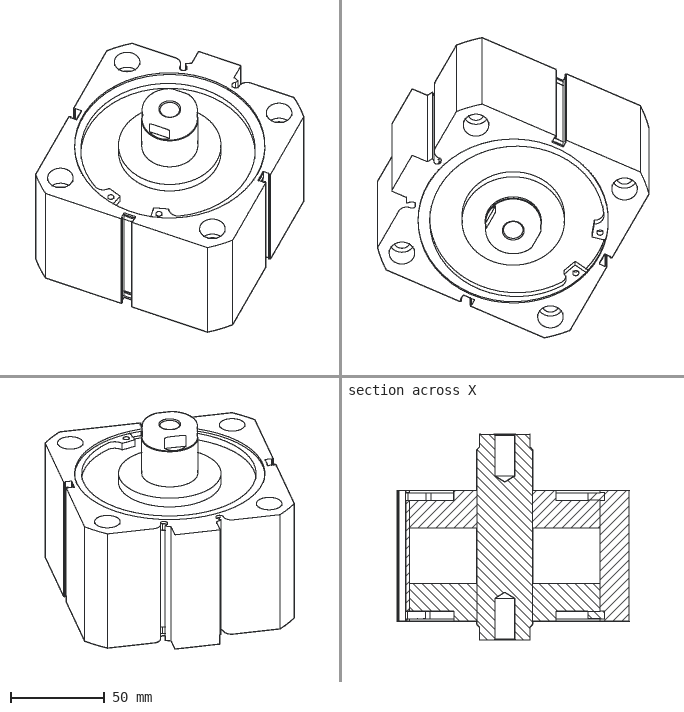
import cadquery as cq
import math

longest_side = 124.0
side = 115.0
height = 69.9
corner_radius = 74.4
half_side = side / 2
half_height = height / 2

rail_half_width = 12.4
rail_top = longest_side - half_side
rail_fillet = 0.5
lip_x, lip_y = 15.4, 55.9
notch_x, notch_y = 15.3, 52.8
notch_radius = 2.0
notch_join_angle = math.radians(115)
flare_radius = half_side - notch_y

bore_radius = 50.8
groove_radius = 53.2
groove_inset = 1.4
ring_thickness = 4.0
ring_top = half_height - groove_inset
ring_bottom = ring_top - ring_thickness

mount_spacing = 88.7
mount_diameter = 8.7
counterbore_diameter = 13.6
counterbore_depth = 12.4

slot_half_width = 3.3
slot_depth = 4.5
mouth_half_width = 2.7
mouth_lip = 1.0
lip_chamfer = 0.5

ring_inner_radius = 46.6
ring_inner_offset = 2.2
ring_turn = -0.8
lug_inner_x, lug_inner_y = 17.5, -39.7
lug_end_x, lug_end_y = 9.8, -42.3
lug_base_x, lug_base_y = 9.0, -40.0
valley_x, valley_y = 19.7, -41.9
valley_start_x = 24.5
plier_hole_x, plier_hole_y = 14.1, -44.9
plier_hole_radius = 1.6

cover_thickness = 14.9
boss_radius = 27.4

rod_radius = 15.0
neck_radius = 14.8
long_end = 30.0
short_end = 10.0
rod_top = half_height + long_end
rod_bottom = -half_height - short_end
neck_length = 8.2
end_fillet = 0.9
shoulder_chamfer = 0.4
flat_distance = 13.5
flat_length = 6.8
rod_hole_radius = 5.2
rod_hole_depth = 22.3
rod_hole_chamfer = 0.6
drill_tip_half_angle = math.radians(59)


def disc(radius, z_low, z_high):
    return cq.Workplane("XY").workplane(offset=z_low).circle(radius).extrude(z_high - z_low)


def cone(base_radius, top_radius, length, base_z, direction):
    axis = cq.Vector(0, 0, direction)
    return cq.Workplane(cq.Solid.makeCone(base_radius, top_radius, length, cq.Vector(0, 0, base_z), axis))


def make_block():
    """The square block with its rounded-off corners and the port rail."""
    block = cq.Workplane("XY").box(side, side, height)
    block = block.intersect(disc(corner_radius, -half_height, half_height))
    rail = (
        cq.Workplane("XY")
        .box(2 * rail_half_width, rail_top, height, centered=(True, False, True))
        .edges("|Z and >Y")
        .fillet(rail_fillet)
    )
    return block.union(rail)


def make_notch():
    """The notch on the +X side of the rail, open towards +Y."""
    join_x = notch_x + notch_radius * math.cos(notch_join_angle)
    join_y = notch_y + notch_radius * math.sin(notch_join_angle)
    flare_x = notch_x + notch_radius + flare_radius
    flare_reach = flare_radius * math.sqrt(0.5)
    return (
        cq.Workplane("XY")
        .workplane(offset=-half_height)
        .moveTo(rail_half_width, half_side)
        .lineTo(lip_x, lip_y)
        .lineTo(join_x, join_y)
        .threePointArc((notch_x, notch_y - notch_radius), (notch_x + notch_radius, notch_y))
        .threePointArc((flare_x - flare_reach, notch_y + flare_reach), (flare_x, half_side))
        .close()
        .extrude(height)
    )


def make_slot():
    """A sensor slot along the full height of the -Y side."""
    half_outline = [
        (mouth_half_width + lip_chamfer, 0),
        (mouth_half_width, lip_chamfer),
        (mouth_half_width, mouth_lip),
        (slot_half_width, mouth_lip),
        (slot_half_width, slot_depth),
    ]
    outline = half_outline + [(-x, depth) for x, depth in reversed(half_outline)]
    return (
        cq.Workplane("XY")
        .workplane(offset=-half_height)
        .polyline([(x, depth - half_side) for x, depth in outline])
        .close()
        .extrude(height)
    )


def make_housing():
    body = make_block()
    notch = make_notch()
    body = body.cut(notch).cut(notch.mirror("YZ"))
    slot = make_slot()
    for angle in (-90, 0, 90):
        body = body.cut(slot.rotate((0, 0, 0), (0, 0, 1), angle))
    body = body.cut(disc(bore_radius, -half_height, half_height))
    body = body.cut(disc(groove_radius, ring_bottom, ring_top))
    body = body.cut(disc(groove_radius, -ring_top, -ring_bottom))
    for face in (">Z", "<Z"):
        body = (
            body.faces(face)
            .workplane(origin=(0, 0, 0))
            .rect(mount_spacing, mount_spacing, forConstruction=True)
            .vertices()
            .cboreHole(mount_diameter, counterbore_diameter, counterbore_depth)
        )
    return body


def make_ring():
    """The ring in the upper groove, with its gap towards -Y."""
    valley_start_y = -ring_inner_offset - math.sqrt(ring_inner_radius**2 - valley_start_x**2)
    base_angle = math.atan2(lug_base_y, lug_base_x)
    rim_x = groove_radius * math.cos(base_angle)
    rim_y = groove_radius * math.sin(base_angle)
    ring = (
        cq.Workplane("XY")
        .workplane(offset=ring_bottom)
        .moveTo(lug_end_x, lug_end_y)
        .lineTo(rim_x, rim_y)
        .threePointArc((0, groove_radius), (-rim_x, rim_y))
        .lineTo(-lug_end_x, lug_end_y)
        .lineTo(-lug_inner_x, lug_inner_y)
        .threePointArc((-valley_x, valley_y), (-valley_start_x, valley_start_y))
        .threePointArc((0, ring_inner_radius - ring_inner_offset), (valley_start_x, valley_start_y))
        .threePointArc((valley_x, valley_y), (lug_inner_x, lug_inner_y))
        .close()
        .extrude(ring_thickness)
    )
    plier_holes = (
        cq.Workplane("XY")
        .workplane(offset=ring_bottom)
        .pushPoints([(plier_hole_x, plier_hole_y), (-plier_hole_x, plier_hole_y)])
        .circle(plier_hole_radius)
        .extrude(ring_thickness)
    )
    return ring.cut(plier_holes).rotate((0, 0, 0), (0, 0, 1), ring_turn)


def make_cover():
    """The upper cover, a plate under the ring with a boss flush with the housing."""
    plate = disc(bore_radius, ring_bottom - cover_thickness, ring_bottom)
    boss = disc(boss_radius, ring_bottom, half_height)
    rod_hole = disc(rod_radius, ring_bottom - cover_thickness, half_height)
    return plate.union(boss).cut(rod_hole)


def make_turned_rod():
    return (
        cq.Workplane("XZ")
        .moveTo(0, rod_bottom)
        .lineTo(neck_radius, rod_bottom)
        .lineTo(neck_radius, rod_bottom + neck_length)
        .lineTo(rod_radius, rod_bottom + neck_length + shoulder_chamfer)
        .lineTo(rod_radius, rod_top - neck_length - shoulder_chamfer)
        .lineTo(neck_radius, rod_top - neck_length)
        .lineTo(neck_radius, rod_top)
        .lineTo(0, rod_top)
        .close()
        .revolve(360, (0, 0, 0), (0, 1, 0))
        .faces("|Z")
        .edges()
        .fillet(end_fillet)
    )


def make_flat_cut(end_z, inward):
    """Cutter for the spanner flat on the -Y side, running out at 45 degrees."""
    run_out = rod_radius - flat_distance
    return (
        cq.Workplane("YZ")
        .moveTo(-flat_distance, end_z)
        .lineTo(-flat_distance, end_z + inward * flat_length)
        .lineTo(-flat_distance - run_out, end_z + inward * (flat_length + run_out))
        .lineTo(-flat_distance - run_out, end_z)
        .close()
        .extrude(rod_radius, both=True)
    )


def make_rod_hole(end_z, inward):
    """Chamfered blind hole with a drill tip, along the rod axis."""
    bottom_z = end_z + inward * rod_hole_depth
    tip_length = rod_hole_radius / math.tan(drill_tip_half_angle)
    hole = disc(rod_hole_radius, min(end_z, bottom_z), max(end_z, bottom_z))
    tip = cone(rod_hole_radius, 0, tip_length, bottom_z, inward)
    mouth = cone(rod_hole_radius + rod_hole_chamfer, rod_hole_radius, rod_hole_chamfer, end_z, inward)
    return hole.union(tip).union(mouth)


def make_rod():
    body = make_turned_rod()
    for end_z, inward in ((rod_top, -1), (rod_bottom, 1)):
        flat_cut = make_flat_cut(end_z, inward)
        body = body.cut(flat_cut).cut(flat_cut.mirror("XZ"))
        body = body.cut(make_rod_hole(end_z, inward))
    return body


housing = make_housing()
rod = make_rod()

rings = []
covers = []
for end_turn in (0, 180):
    rings.append(make_ring().rotate((0, 0, 0), (0, 1, 0), end_turn).val())
    covers.append(make_cover().rotate((0, 0, 0), (0, 1, 0), end_turn).val())

result = cq.Compound.makeCompound([housing.val(), rod.val(), *rings, *covers])